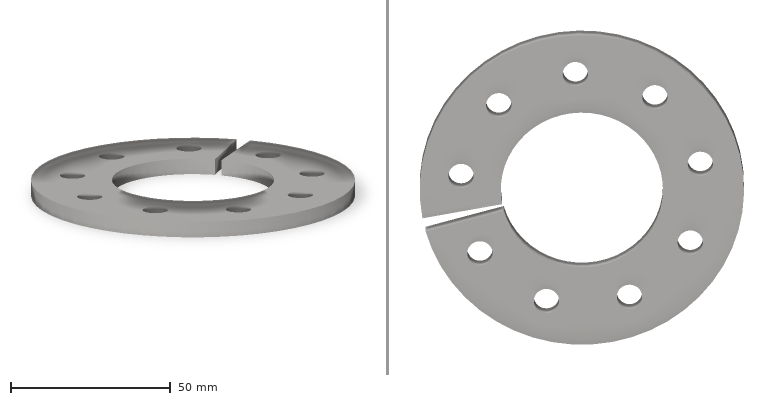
import cadquery as cq
import math


STACK_HEIGHT = 5.0
LAYER_COUNT = 5
LAYER_THICKNESS = STACK_HEIGHT / LAYER_COUNT

OUTER_RADIUS = 50.8
BORE_RADIUS = 25.4

RIM_WIDTH = 3.1
CHANNEL_FLOOR = 0.02
FACING_OUTER_RADIUS = OUTER_RADIUS - RIM_WIDTH
FACING_INNER_RADIUS = BORE_RADIUS + RIM_WIDTH
FACING_THICKNESS = LAYER_THICKNESS - CHANNEL_FLOOR

GAP_CENTER_ANGLE = 110.0
GAP_ANGLE = 5.0
RING_START_ANGLE = GAP_CENTER_ANGLE + GAP_ANGLE / 2
RING_END_ANGLE = GAP_CENTER_ANGLE - GAP_ANGLE / 2
RING_MIDDLE_ANGLE = GAP_CENTER_ANGLE + 180.0

HOLE_COUNT = 9
HOLE_DIAMETER = 7.9
HOLE_CIRCLE_RADIUS = (OUTER_RADIUS + BORE_RADIUS) / 2
FIRST_HOLE_ANGLE = 90.0


def polar_point(radius, angle):
    """Point in the XY plane at a radius and an angle in degrees."""
    return (radius * math.cos(math.radians(angle)), radius * math.sin(math.radians(angle)))


def split_ring(inner_radius, outer_radius, bottom, height):
    """Flat ring that is open at the radial gap."""
    return (
        cq.Workplane("XY")
        .workplane(offset=bottom)
        .moveTo(*polar_point(inner_radius, RING_START_ANGLE))
        .lineTo(*polar_point(outer_radius, RING_START_ANGLE))
        .threePointArc(
            polar_point(outer_radius, RING_MIDDLE_ANGLE), polar_point(outer_radius, RING_END_ANGLE)
        )
        .lineTo(*polar_point(inner_radius, RING_END_ANGLE))
        .threePointArc(
            polar_point(inner_radius, RING_MIDDLE_ANGLE), polar_point(inner_radius, RING_START_ANGLE)
        )
        .close()
        .extrude(height)
    )


def bolt_holes():
    """Cutting cylinders that pass through the whole stack."""
    return (
        cq.Workplane("XY")
        .polarArray(HOLE_CIRCLE_RADIUS, FIRST_HOLE_ANGLE, 360, HOLE_COUNT)
        .circle(HOLE_DIAMETER / 2)
        .extrude(STACK_HEIGHT)
    )


def facing_blank(layer_bottom):
    """Facing before its bolt holes are cut, which is also the shape of the carrier's channel."""
    return split_ring(
        FACING_INNER_RADIUS, FACING_OUTER_RADIUS, layer_bottom + CHANNEL_FLOOR, FACING_THICKNESS
    )


def make_carrier(layer_bottom):
    """Split plate with a thin-floored channel between its inner and outer rims."""
    plate = split_ring(BORE_RADIUS, OUTER_RADIUS, layer_bottom, LAYER_THICKNESS)
    return plate.cut(facing_blank(layer_bottom)).cut(bolt_holes())


def make_facing(layer_bottom):
    """Split band that fills the carrier's channel up to the top of the rims."""
    return facing_blank(layer_bottom).cut(bolt_holes())


layer_bottoms = [layer * LAYER_THICKNESS for layer in range(LAYER_COUNT)]
carriers = [make_carrier(bottom).val() for bottom in layer_bottoms]
facings = [make_facing(bottom).val() for bottom in layer_bottoms]

result = cq.Compound.makeCompound([*carriers, *facings])